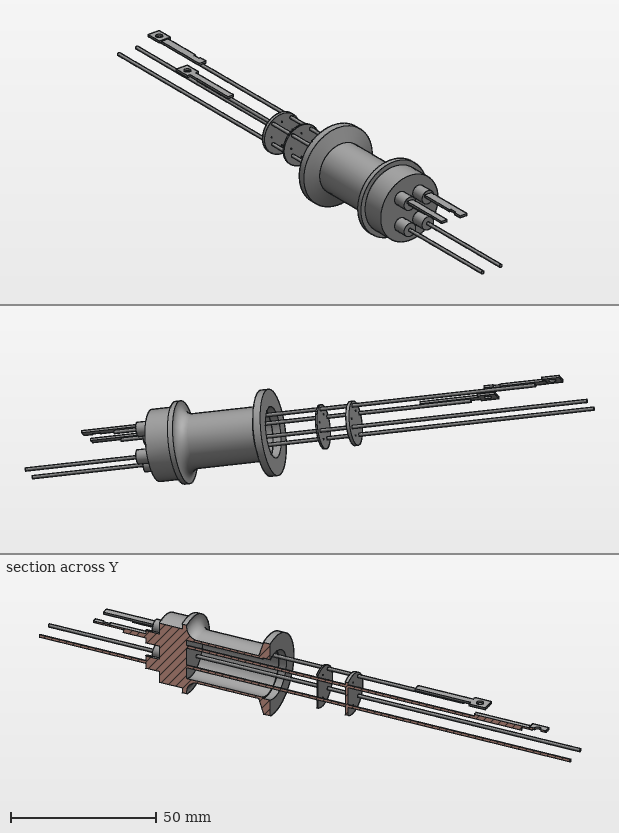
import cadquery as cq
import math


flange_radius = 15.0
flange_rim_end = 2.6
flange_taper_end = 4.5
tube_radius = 9.5
flare_start = 28.0
flare_radius = 3.9
collar_end = 33.7
collar_radius = 14.5
head_radius = 12.5
head_end = 42.4
counterbore_radius = 9.0
counterbore_depth = 2.8
bore_radius = 8.5
bore_depth = 31.8

wire_radius = 0.6
wire_spacing = 8.0
upper_z = 5.0
lower_left_z = -2.8
lower_right_z = -5.0
lower_left_end = -114.6
lower_right_end = 88.2
sleeve_diameter = 5.0
sleeve_end = 47.7
disc_radius = 7.7
discs = [(-29.8, 1.2), (-18.3, 0.6)]
vent_count = 4
vent_radius = 0.2
vent_circle_diameter = 9.1
joint_overlap = 1.0

strip_thickness = 0.8
strip_wire_overlap = 0.1
strip_bottom = upper_z + wire_radius - strip_wire_overlap
lug_length = 6.3
lug_width = 4.9
lug_hole_diameter = 2.5
wire_setback = 9.3
left_strip_length = 27.4
upper_right_wire_end = 56.2
notch_length = 2.6
notch_depth = 0.6
notch_from_end = 3.2
strips = [
    (1, 3.0, -105.3, 67.5, True, 0.5),
    (-1, 2.5, -79.5, 67.0, False, 0),
]


def rod(x_start, x_end, y, z, radius):
    """Cylinder along X."""
    return cq.Workplane("YZ", origin=(x_start, y, z)).circle(radius).extrude(x_end - x_start)


def flat_bar(x_start, x_end, y, width):
    """Flat rectangular bar at the height of the connector strips."""
    size = (x_end - x_start, width, strip_thickness)
    return cq.Workplane("XY", origin=(x_start, y, strip_bottom)).box(*size, centered=(False, True, False))


def make_body():
    """Flange, tube, flared collar and head, turned about X."""
    flare_end = flare_start + flare_radius
    flare_mid = flare_radius * math.sqrt(0.5)
    outline = (
        cq.Workplane("XY")
        .moveTo(0, counterbore_radius)
        .lineTo(0, flange_radius)
        .lineTo(flange_rim_end, flange_radius)
        .lineTo(flange_taper_end, tube_radius)
        .lineTo(flare_start, tube_radius)
        .threePointArc(
            (flare_start + flare_mid, tube_radius + flare_radius - flare_mid),
            (flare_end, tube_radius + flare_radius),
        )
        .lineTo(flare_end, collar_radius)
        .lineTo(collar_end, collar_radius)
        .lineTo(collar_end, head_radius)
        .lineTo(head_end, head_radius)
        .lineTo(head_end, 0)
        .lineTo(bore_depth, 0)
        .lineTo(bore_depth, bore_radius)
        .lineTo(counterbore_depth, bore_radius)
        .lineTo(counterbore_depth, counterbore_radius)
        .close()
    )
    return outline.revolve(360, (0, 0, 0), (1, 0, 0))


def make_disc(x_start, thickness):
    """Spacer disc with a ring of small vents."""
    return (
        cq.Workplane("YZ", origin=(x_start, 0, 0))
        .circle(disc_radius)
        .polarArray(vent_circle_diameter / 2, 0, 360, vent_count)
        .circle(vent_radius)
        .extrude(thickness)
    )


def make_strip(x_start, x_end, y, width, notch_side):
    """Flat bar with a small notch near its right end on the +Y (1) or -Y (-1) edge, or none (0)."""
    strip = flat_bar(x_start, x_end, y, width)
    if notch_side:
        notch_end = x_end - notch_from_end
        edge_y = y + notch_side * width / 2
        strip = strip.cut(flat_bar(notch_end - notch_length, notch_end, edge_y, 2 * notch_depth))
    return strip


def make_lug(tip, y, rise):
    """Wide lug with a round hole, raised by `rise` from the level of the strips."""
    lug = flat_bar(tip, tip + lug_length, y, lug_width)
    hole = (
        cq.Workplane("XY", origin=(tip + lug_length / 2, y, strip_bottom))
        .circle(lug_hole_diameter / 2)
        .extrude(strip_thickness)
    )
    return lug.cut(hole).translate((0, 0, rise))


result = make_body()
for x_start, thickness in discs:
    result = result.union(make_disc(x_start, thickness))

for side, strip_width, lug_tip, right_strip_end, notched, rise in strips:
    y = side * wire_spacing / 2
    notch_side = side if notched else 0
    neck_start = lug_tip + lug_length - joint_overlap
    pieces = [
        rod(head_end - joint_overlap, sleeve_end, y, upper_z, sleeve_diameter / 2),
        rod(head_end - joint_overlap, sleeve_end, y, lower_right_z, sleeve_diameter / 2),
        rod(lug_tip + wire_setback, bore_depth + joint_overlap, y, upper_z, wire_radius),
        rod(sleeve_end - joint_overlap, upper_right_wire_end, y, upper_z, wire_radius),
        rod(lower_left_end, bore_depth + joint_overlap, y, lower_left_z, wire_radius),
        rod(sleeve_end - joint_overlap, lower_right_end, y, lower_right_z, wire_radius),
        make_strip(neck_start, lug_tip + left_strip_length, y, strip_width, notch_side),
        make_lug(lug_tip, y, rise),
        make_strip(sleeve_end - joint_overlap, right_strip_end, y, strip_width, -notch_side),
    ]
    for piece in pieces:
        result = result.union(piece)